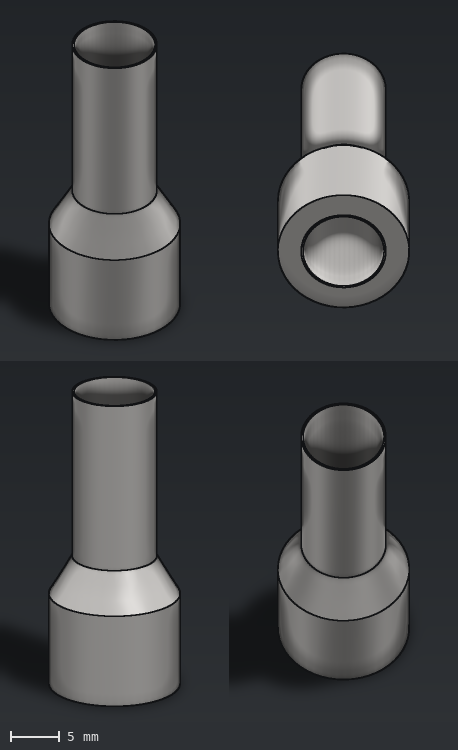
import cadquery as cq

total_length = 32.0

tube_diameter = 8.7
tube_wall = 0.2
tube_bore = tube_diameter - 2 * tube_wall

collar_diameter = 13.5
exposed_tube_length = 18.0
skirt_height = 9.9
collar_height = total_length - exposed_tube_length


def make_tube():
    """Thin straight tube, open at both ends."""
    return (
        cq.Workplane("XY")
        .circle(tube_diameter / 2)
        .circle(tube_bore / 2)
        .extrude(total_length)
    )


def make_collar():
    """Cylindrical skirt with a cone that narrows to the tube, bored to fit the tube."""
    tube_radius = tube_diameter / 2
    collar_radius = collar_diameter / 2
    return (
        cq.Workplane("XZ")
        .moveTo(tube_radius, 0)
        .lineTo(collar_radius, 0)
        .lineTo(collar_radius, skirt_height)
        .lineTo(tube_radius, collar_height)
        .close()
        .revolve(360, (0, 0, 0), (0, 1, 0))
    )


tube = make_tube()
collar = make_collar()

result = cq.Compound.makeCompound([tube.val(), collar.val()])